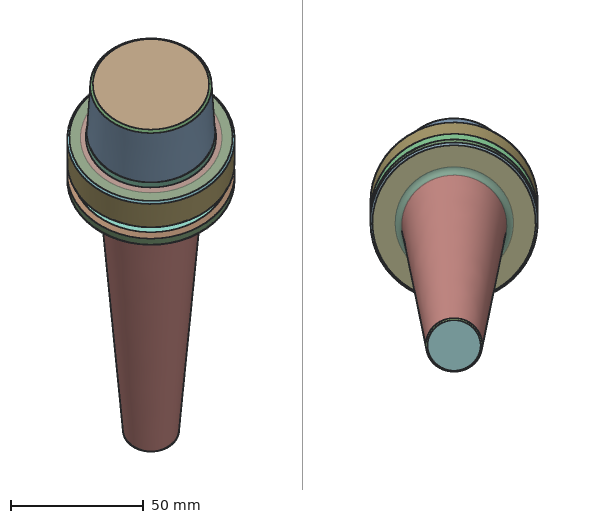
import cadquery as cq
import math

total_height = 208.0
shank_length = 31.8
flange_length = 26.2
flange_top = total_height - shank_length
flange_bottom = flange_top - flange_length

flange_radius = 31.5
edge_chamfer = 0.8
groove_floor_radius = 27.5
groove_floor_top = flange_bottom + 10.2
groove_floor_bottom = flange_bottom + 6.2
groove_lip_radius = 29.7
upper_lip_height = 1.2
lower_lip_height = 1.7

shank_top_radius = 22.9
shank_base_radius = 24.1
shank_base = flange_top + 3.0
shank_chamfer_width = 1.0
shank_chamfer_height = 0.8

collar_radius = 26.6
collar_height = 0.5
collar_inner_radius = 24.5
relief_radius = 23.7
relief_chamfer = shank_base_radius - relief_radius

neck_top_radius = 19.8
neck_tip_radius = 10.5
tip_chamfer = 0.6
neck_fillet = 2.5
neck_top = flange_bottom - neck_fillet

arc_mid = 1 - math.sqrt(0.5)

profile = (
    cq.Workplane("XZ")
    .lineTo(neck_tip_radius - tip_chamfer, 0)
    .lineTo(neck_tip_radius, tip_chamfer)
    .lineTo(neck_top_radius, neck_top)
    .threePointArc(
        (neck_top_radius + neck_fillet * arc_mid, flange_bottom - neck_fillet * arc_mid),
        (neck_top_radius + neck_fillet, flange_bottom),
    )
    .lineTo(flange_radius - edge_chamfer, flange_bottom)
    .lineTo(flange_radius, flange_bottom + edge_chamfer)
    .lineTo(flange_radius, groove_floor_bottom - lower_lip_height)
    .lineTo(groove_lip_radius, groove_floor_bottom)
    .lineTo(groove_floor_radius, groove_floor_bottom)
    .lineTo(groove_floor_radius, groove_floor_top)
    .lineTo(groove_lip_radius, groove_floor_top)
    .lineTo(flange_radius, groove_floor_top + upper_lip_height)
    .lineTo(flange_radius, flange_top - edge_chamfer)
    .lineTo(flange_radius - edge_chamfer, flange_top)
    .lineTo(collar_radius, flange_top)
    .lineTo(collar_inner_radius, flange_top + collar_height)
    .lineTo(relief_radius, shank_base - relief_chamfer)
    .lineTo(shank_base_radius, shank_base)
    .lineTo(shank_top_radius, total_height - shank_chamfer_height)
    .lineTo(shank_top_radius - shank_chamfer_width, total_height)
    .lineTo(0, total_height)
    .close()
)

result = profile.revolve(360, (0, 0, 0), (0, 1, 0))